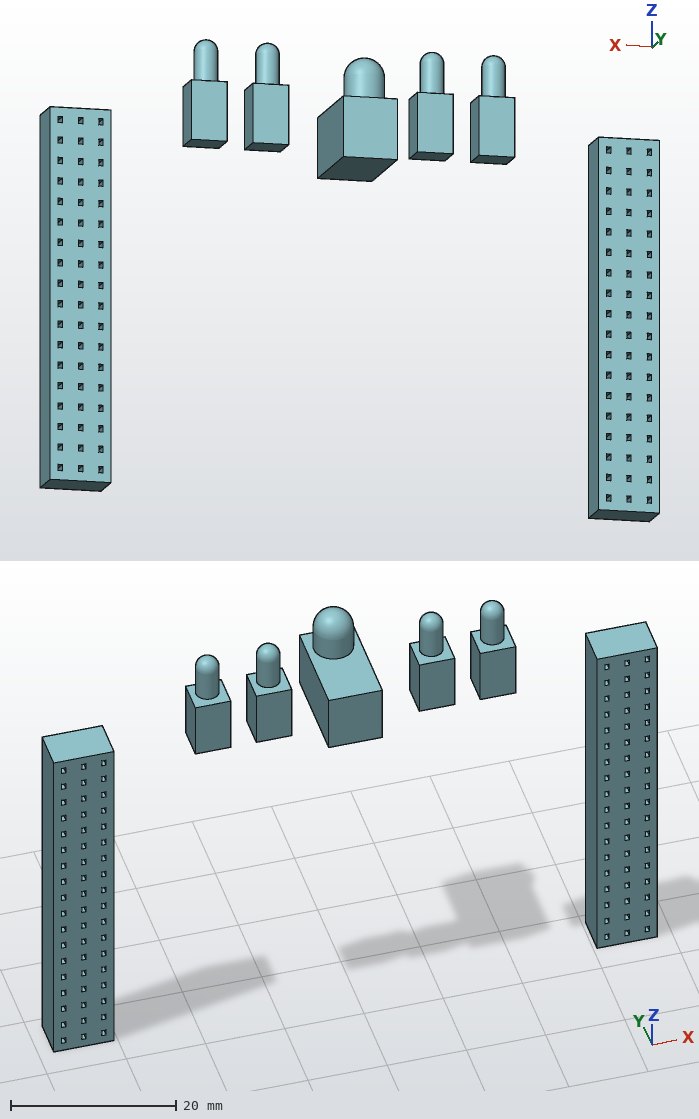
import cadquery as cq


overall_width = 76.2
header_width = 7.6
header_depth = 5.0
header_height = 46.25
header_center_x = (overall_width - header_width) / 2

hole_columns = 3
hole_rows = 18
hole_pitch = header_width / hole_columns
hole_width = 0.5
hole_height = 0.8

small_body_width = 4.5
small_body_depth = 4.2
small_body_height = 7.4
small_bulb_diameter = 2.9
small_bulb_y = 2.5
small_bulb_height = 5.4
small_top_z = 56.2
small_inner_x = 10.3
small_pair_spacing = 7.7
small_outer_x = small_inner_x + small_pair_spacing
small_centers_x = [-small_outer_x, -small_inner_x, small_inner_x, small_outer_x]

large_body_width = 6.8
large_body_depth = 12.65
large_body_height = 7.55
large_bulb_diameter = 4.95
large_bulb_y = 9.6
large_bulb_height = 5.5
large_top_z = 53.35


def make_header(center_x):
    """Upright block with a grid of rectangular through holes."""
    block = cq.Workplane("XY").box(header_width, header_depth, header_height, centered=(True, False, False))
    holes = (
        cq.Workplane("XZ", origin=(0, 0, header_height / 2))
        .rarray(hole_pitch, hole_pitch, hole_columns, hole_rows)
        .rect(hole_width, hole_height)
        .extrude(-header_depth)
    )
    return block.cut(holes).translate((center_x, 0, 0))


def make_bulb(diameter, height):
    """Cylinder topped by a hemisphere, standing on Z = 0; height includes the dome."""
    radius = diameter / 2
    seam_z = height - radius
    cylinder = cq.Workplane("XY").circle(radius).extrude(seam_z)
    dome = (
        cq.Workplane("XZ", origin=(0, 0, seam_z))
        .lineTo(radius, 0)
        .radiusArc((0, radius), -radius)
        .close()
        .revolve(360, (0, 0), (0, 1))
    )
    return cylinder.union(dome)


def make_lamp(center_x, body_width, body_depth, body_height, bulb_diameter, bulb_y, bulb_height, top_z):
    """Rectangular body and upward bulb in one piece, with the dome tip at top_z."""
    body_top_z = top_z - bulb_height
    body = (
        cq.Workplane("XY")
        .box(body_width, body_depth, body_height, centered=(True, False, False))
        .translate((center_x, 0, body_top_z - body_height))
    )
    bulb = make_bulb(bulb_diameter, bulb_height).translate((center_x, bulb_y, body_top_z))
    return body.union(bulb)


def make_small_lamp(center_x):
    return make_lamp(
        center_x,
        small_body_width,
        small_body_depth,
        small_body_height,
        small_bulb_diameter,
        small_bulb_y,
        small_bulb_height,
        small_top_z,
    )


def make_large_lamp():
    return make_lamp(
        0,
        large_body_width,
        large_body_depth,
        large_body_height,
        large_bulb_diameter,
        large_bulb_y,
        large_bulb_height,
        large_top_z,
    )


headers = [make_header(x) for x in (-header_center_x, header_center_x)]
small_lamps = [make_small_lamp(x) for x in small_centers_x]
large_lamp = make_large_lamp()

result = cq.Compound.makeCompound(
    [
        *[header.val() for header in headers],
        *[lamp.val() for lamp in small_lamps],
        large_lamp.val(),
    ]
)